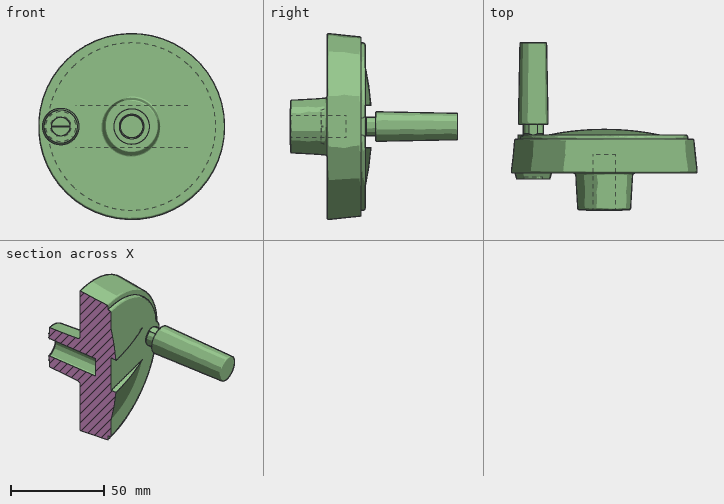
import cadquery as cq
import math


rim_diameter = 100.0
rim_depth = 18.3
rim_draft = 6.0
rim_front_fillet = 1.0
rim_back_fillet = 0.9

plate_diameter = 90.0
plate_height = 2.2
plate_fillet = 1.5
plate_back = rim_depth + plate_height

dome_diameter = 64.0
dome_height = 3.5
dome_slot_width = 22.6

hub_length = 19.6
hub_base_diameter = 30.7
hub_tip_diameter = 28.4
hub_base_fillet = 1.2
hub_tip_fillet = 0.9

insert_diameter = 19.0
insert_tip = -20.0
bore_diameter = 12.0
bore_mouth_diameter = 13.3
bore_depth = 30.0

handle_offset = -38.0
handle_length = 44.0
handle_end = 70.0
handle_base_diameter = 16.1
handle_tip_diameter = 14.4
handle_base_fillet = 0.9
handle_tip_fillet = 0.6
handle_start = handle_end - handle_length

shank_diameter = 11.0
shank_flats = 10.0
shank_chamfer = 0.5
shank_neck_length = 0.7
seat_diameter = 16.4

collar_height = 3.2
collar_base_diameter = 19.6
collar_tip_diameter = 17.8
screw_diameter = 10.0
screw_recess = 0.1
screw_slot_width = 0.5
screw_slot_depth = 1.0


def frustum(start, start_diameter, end, end_diameter, offset=0.0):
    """Solid round about a Y-parallel axis at X = offset, from Y = start to Y = end."""
    profile = (
        cq.Workplane("XY")
        .moveTo(0, start)
        .lineTo(start_diameter / 2, start)
        .lineTo(end_diameter / 2, end)
        .lineTo(0, end)
        .close()
    )
    return profile.revolve(360, (0, 0, 0), (0, 1, 0)).translate((offset, 0, 0))


def cylinder(diameter, start, end, offset=0.0):
    return frustum(start, diameter, end, diameter, offset)


def make_rim():
    back_diameter = rim_diameter - 2 * rim_depth * math.tan(math.radians(rim_draft))
    rim = frustum(0, rim_diameter, rim_depth, back_diameter)
    rim = rim.faces("<Y").edges().fillet(rim_front_fillet)
    return rim.faces(">Y").edges().fillet(rim_back_fillet)


def make_plate():
    plate = cylinder(plate_diameter, rim_depth, plate_back)
    return plate.faces(">Y").edges().fillet(plate_fillet)


def make_dome():
    rim_radius = dome_diameter / 2
    sphere_radius = (rim_radius**2 + dome_height**2) / (2 * dome_height)
    apex = plate_back + dome_height
    half_angle = math.asin(rim_radius / sphere_radius) / 2
    arc_middle = (
        sphere_radius * math.sin(half_angle),
        apex - sphere_radius * (1 - math.cos(half_angle)),
    )
    dome = (
        cq.Workplane("XY")
        .moveTo(0, rim_depth)
        .lineTo(rim_radius, rim_depth)
        .lineTo(rim_radius, plate_back)
        .threePointArc(arc_middle, (0, apex))
        .close()
        .revolve(360, (0, 0, 0), (0, 1, 0))
    )
    slot = cq.Workplane("XY").box(dome_diameter, 2 * dome_height, dome_slot_width)
    slot = slot.translate((0, apex, 0))
    return dome.cut(slot)


def make_hub():
    hub = frustum(-hub_length, hub_tip_diameter, 0, hub_base_diameter)
    return hub.faces("<Y").edges().fillet(hub_tip_fillet)


def blend_hub(body):
    """Round the corner where the hub wall meets the front face."""
    radius = hub_base_diameter / 2
    margin = hub_base_fillet / 2
    corner = cq.selectors.BoxSelector(
        (-radius - margin, -margin, -radius - margin),
        (radius + margin, margin, radius + margin),
        boundingbox=True,
    )
    return body.edges(corner).fillet(hub_base_fillet)


def make_bore():
    chamfer = (bore_mouth_diameter - bore_diameter) / 2
    bore = cylinder(bore_diameter, insert_tip, insert_tip + bore_depth)
    mouth = frustum(insert_tip, bore_mouth_diameter, insert_tip + chamfer, bore_diameter)
    return bore.union(mouth)


def make_handle():
    grip = frustum(
        handle_start, handle_base_diameter, handle_end, handle_tip_diameter, handle_offset
    )
    grip = grip.faces("<Y").edges().fillet(handle_base_fillet)
    grip = grip.faces(">Y").edges().fillet(handle_tip_fillet)

    shank_start = plate_back + shank_neck_length
    shank_length = handle_start - plate_back
    neck_diameter = shank_diameter - 2 * shank_chamfer
    shank = cylinder(shank_diameter, shank_start, handle_start, handle_offset)
    neck = frustum(plate_back, neck_diameter, shank_start, shank_diameter, handle_offset)
    flats = cq.Workplane("XY").box(shank_diameter, shank_length, shank_flats)
    flats = flats.translate((handle_offset, plate_back + shank_length / 2, 0))
    shank = shank.union(neck).intersect(flats)

    seat = cylinder(seat_diameter, rim_depth, plate_back, handle_offset)
    return grip.union(shank).union(seat)


def make_collar():
    return frustum(-collar_height, collar_tip_diameter, 0, collar_base_diameter, handle_offset)


def make_screw_cuts():
    """Shallow recess down to the screw head, and the driver slot across the head."""
    head = -collar_height + screw_recess
    recess = cylinder(screw_diameter, -collar_height, head, handle_offset)
    slot_bottom = head + screw_slot_depth
    slot_blank = cq.Workplane("XY").box(screw_diameter, 2 * screw_slot_depth, screw_slot_width)
    slot_blank = slot_blank.translate((handle_offset, head, 0))
    slot = cylinder(screw_diameter, -collar_height, slot_bottom, handle_offset)
    return recess.union(slot.intersect(slot_blank))


wheel = blend_hub(make_rim().union(make_hub()))
wheel = wheel.union(make_plate()).union(make_dome())
wheel = wheel.union(cylinder(insert_diameter, insert_tip, 0))
wheel = wheel.cut(make_bore())

result = wheel.union(make_handle()).union(make_collar()).cut(make_screw_cuts())